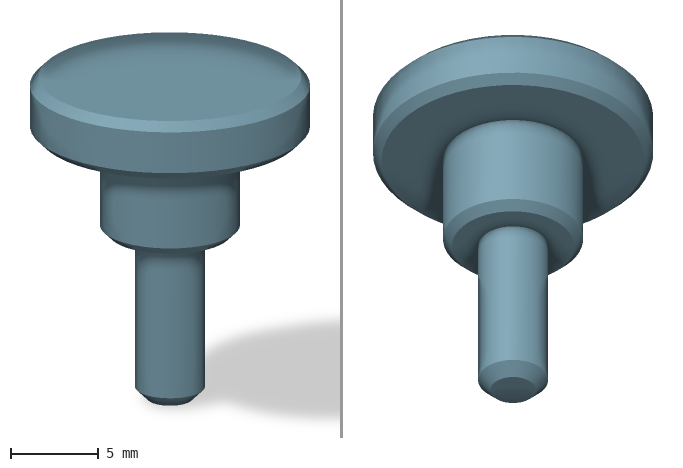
import cadquery as cq

total_height = 19.5
head_diameter = 16.0
head_height = 3.5
collar_diameter = head_diameter / 2
collar_height = 6.0
shank_diameter = head_diameter / 4
edge_chamfer = 0.5
tip_chamfer = 0.7

shank_length = total_height - head_height - collar_height


def cylinder(diameter, bottom, height):
    """Upright cylinder on the Z axis, starting at the given height."""
    return cq.Workplane("XY").workplane(offset=bottom).circle(diameter / 2).extrude(height)


shank = cylinder(shank_diameter, 0, shank_length).faces("<Z").chamfer(tip_chamfer)

collar = cylinder(collar_diameter, shank_length, collar_height).faces("<Z").chamfer(edge_chamfer)

head_bottom = shank_length + collar_height
head = cylinder(head_diameter, head_bottom, head_height).faces("<Z or >Z").chamfer(edge_chamfer)

result = shank.union(collar).union(head)